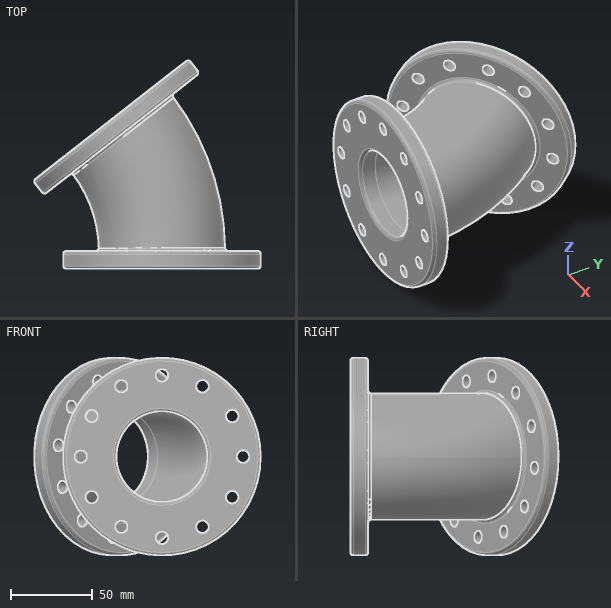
import cadquery as cq
import math

flange_diameter = 122.0
flange_thickness = 11.0
pipe_diameter = 78.0
bore_diameter = 56
edge_radius = 2.0
bend_angle = 38
bend_radius = 116.9
hole_count = 12
hole_diameter = 7.5
bolt_circle_diameter = 100.0

angle = math.radians(bend_angle)
axis_x = -math.sin(angle)
axis_y = math.cos(angle)
bend_end_x = bend_radius * (math.cos(angle) - 1)
bend_end_y = flange_thickness + bend_radius * math.sin(angle)
outlet_x = bend_end_x + flange_thickness * axis_x
outlet_y = bend_end_y + flange_thickness * axis_y

inlet_plane = cq.Plane(origin=(0, 0, 0), xDir=(1, 0, 0), normal=(0, 1, 0))
outlet_plane = cq.Plane(
    origin=(outlet_x, outlet_y, 0),
    xDir=(axis_y, -axis_x, 0),
    normal=(-axis_x, -axis_y, 0),
)


def flange(plane):
    """Disc with both rim edges rounded."""
    disc = cq.Workplane(plane).circle(flange_diameter / 2).extrude(flange_thickness)
    return disc.edges().fillet(edge_radius)


def bend(diameter):
    """Solid elbow swept about a Z axis between the flange inner faces."""
    start = cq.Workplane("XZ", origin=(0, flange_thickness, 0)).circle(diameter / 2)
    return start.revolve(bend_angle, (-bend_radius, 0), (-bend_radius, 1))


def root_fillet(plane):
    """Concave ring joining the pipe to a flange inner face."""
    root = pipe_diameter / 2
    overlap = edge_radius
    arc_offset = edge_radius * (1 - math.sqrt(0.5))
    profile = (
        cq.Workplane("XZ")
        .moveTo(root - overlap, flange_thickness)
        .lineTo(root + edge_radius, flange_thickness)
        .threePointArc(
            (root + arc_offset, flange_thickness + arc_offset),
            (root, flange_thickness + edge_radius),
        )
        .lineTo(root - overlap, flange_thickness + edge_radius)
        .close()
    )
    ring = profile.revolve(360, (0, 0), (0, 1))
    return ring.val().moved(cq.Location(plane))


def bore_mouth(plane):
    """Straight bore through a flange with a rounded entry."""
    bore = bore_diameter / 2
    arc_offset = edge_radius * (1 - math.sqrt(0.5))
    profile = (
        cq.Workplane("XZ")
        .lineTo(bore + edge_radius, 0)
        .threePointArc((bore + arc_offset, arc_offset), (bore, edge_radius))
        .lineTo(bore, flange_thickness)
        .lineTo(0, flange_thickness)
        .close()
    )
    cutter = profile.revolve(360, (0, 0), (0, 1))
    return cutter.val().moved(cq.Location(plane))


def bolt_holes(plane, first_angle):
    """Ring of cylinders that cut the bolt holes of one flange."""
    return (
        cq.Workplane(plane)
        .polarArray(bolt_circle_diameter / 2, first_angle, 360, hole_count)
        .circle(hole_diameter / 2)
        .extrude(flange_thickness)
    )


result = flange(inlet_plane).union(flange(outlet_plane)).union(bend(pipe_diameter))
for face_plane in (inlet_plane, outlet_plane):
    result = result.union(root_fillet(face_plane))

result = result.cut(bend(bore_diameter))
for face_plane, first_angle in ((inlet_plane, 0), (outlet_plane, -bend_angle)):
    result = result.cut(bore_mouth(face_plane)).cut(bolt_holes(face_plane, first_angle))